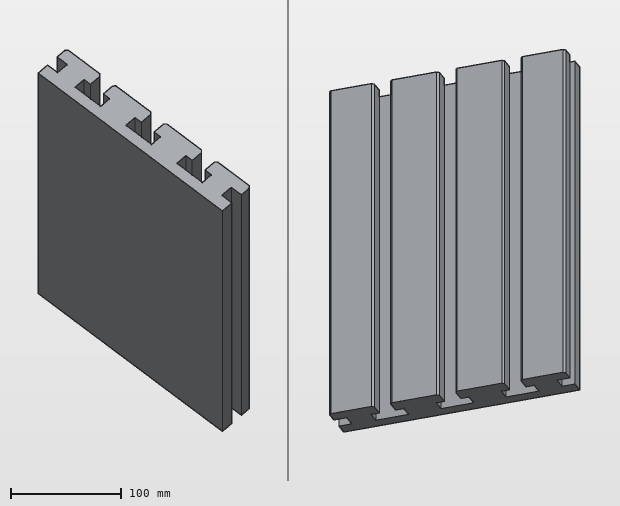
import cadquery as cq

width = 228.5
depth = 37.5
height = 330.2

slot_count = 3
slot_pitch = 63.0
neck_width = 16.0
cavity_width = 31.7
cavity_floor = 11.2
cavity_height = 12.0

groove_depth = 12.5
groove_floor = 12.5
groove_width = 12.5

lip_chamfer = 2.0


def bar(x_center, y_start, x_size, y_size):
    """Full-height block centred on x_center and growing toward +Y from y_start."""
    block = cq.Workplane("XY").box(x_size, y_size, height, centered=(True, False, False))
    return block.translate((x_center, y_start, 0))


def t_slot(x_center):
    """Wide cavity with a narrower neck that reaches the open face."""
    cavity = bar(x_center, cavity_floor, cavity_width, cavity_height)
    neck = bar(x_center, cavity_floor, neck_width, depth - cavity_floor)
    return cavity.union(neck)


plate = bar(0, 0, width, depth)

for index in range(slot_count):
    slot_x = (index - (slot_count - 1) / 2) * slot_pitch
    plate = plate.cut(t_slot(slot_x))

for side in (-1, 1):
    groove_x = side * (width - groove_depth) / 2
    plate = plate.cut(bar(groove_x, groove_floor, groove_depth, groove_width))

result = plate.faces(">Y").edges("|Z").chamfer(lip_chamfer)